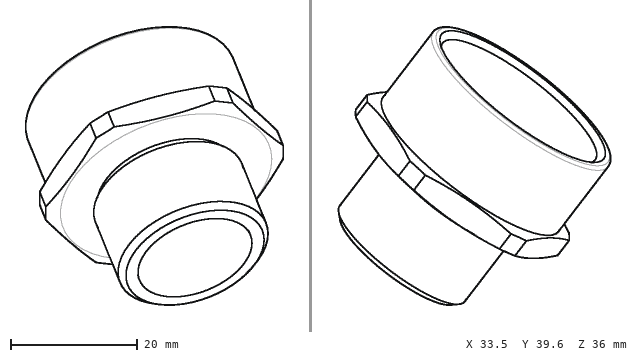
import cadquery as cq


LENGTH = 33.5
COLLAR_START = 14.0
COLLAR_END = 18.5
SPIGOT_START = 20.0
SOCKET_DEPTH = 16.0

SOCKET_RADIUS = 17.53
SPIGOT_RADIUS = 12.5
NECK_RADIUS = 11.5
SOCKET_BORE_RADIUS = 15.25
THROUGH_BORE_RADIUS = 9.5

SOCKET_RIM_FILLET = 0.5
SOCKET_LEAD_IN = 1.0
SPIGOT_CHAMFER = SPIGOT_RADIUS - NECK_RADIUS

ACROSS_FLATS = 36.0
ACROSS_CORNERS = 39.57
COLLAR_FACE_RADIUS = 17.6
COLLAR_BEVEL_DEPTH = 0.67
HEX_SIDES = 6
HALF_PITCH_ANGLE = 180 / HEX_SIDES


def hexagon_prism(across_flats, turn_angle):
    """Hexagonal prism filling the collar's stretch of X, turned about X by the given angle."""
    return (
        cq.Workplane("YZ", origin=(COLLAR_START, 0, 0))
        .polygon(HEX_SIDES, across_flats, circumscribed=True)
        .extrude(COLLAR_END - COLLAR_START)
        .rotate((0, 0, 0), (1, 0, 0), turn_angle)
    )


def wrench_collar():
    """Hexagon with flattened corners and a conical bevel on both faces."""
    wrench_flats = hexagon_prism(ACROSS_FLATS, HALF_PITCH_ANGLE)
    corner_flats = hexagon_prism(ACROSS_CORNERS, 0)

    half_width = (COLLAR_END - COLLAR_START) / 2
    middle = COLLAR_START + half_width
    bevel_slope = (ACROSS_CORNERS / 2 - COLLAR_FACE_RADIUS) / COLLAR_BEVEL_DEPTH
    apex_radius = COLLAR_FACE_RADIUS + bevel_slope * half_width
    bevel = (
        cq.Workplane("XY")
        .moveTo(COLLAR_START, 0)
        .lineTo(COLLAR_START, COLLAR_FACE_RADIUS)
        .lineTo(middle, apex_radius)
        .lineTo(COLLAR_END, COLLAR_FACE_RADIUS)
        .lineTo(COLLAR_END, 0)
        .close()
        .revolve(360, (0, 0, 0), (1, 0, 0))
    )
    return wrench_flats.intersect(corner_flats).intersect(bevel)


def turned_body():
    """Socket barrel, undercut neck and chamfered spigot as one solid of revolution."""
    return (
        cq.Workplane("XY")
        .moveTo(0, 0)
        .lineTo(0, SOCKET_RADIUS - SOCKET_RIM_FILLET)
        .radiusArc((SOCKET_RIM_FILLET, SOCKET_RADIUS), SOCKET_RIM_FILLET)
        .lineTo(COLLAR_START, SOCKET_RADIUS)
        .lineTo(COLLAR_START, NECK_RADIUS)
        .lineTo(SPIGOT_START, NECK_RADIUS)
        .lineTo(SPIGOT_START, SPIGOT_RADIUS)
        .lineTo(LENGTH - SPIGOT_CHAMFER, SPIGOT_RADIUS)
        .lineTo(LENGTH, SPIGOT_RADIUS - SPIGOT_CHAMFER)
        .lineTo(LENGTH, 0)
        .close()
        .revolve(360, (0, 0, 0), (1, 0, 0))
    )


def stepped_bore():
    """Socket bore with a conical lead-in, followed by the narrower through bore."""
    return (
        cq.Workplane("XY")
        .moveTo(0, 0)
        .lineTo(0, SOCKET_BORE_RADIUS + SOCKET_LEAD_IN)
        .lineTo(SOCKET_LEAD_IN, SOCKET_BORE_RADIUS)
        .lineTo(SOCKET_DEPTH, SOCKET_BORE_RADIUS)
        .lineTo(SOCKET_DEPTH, THROUGH_BORE_RADIUS)
        .lineTo(LENGTH, THROUGH_BORE_RADIUS)
        .lineTo(LENGTH, 0)
        .close()
        .revolve(360, (0, 0, 0), (1, 0, 0))
    )


result = turned_body().union(wrench_collar()).cut(stepped_bore())